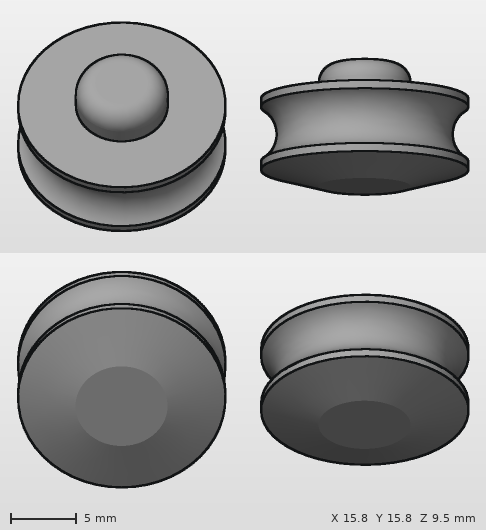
import cadquery as cq

wheel_radius = 7.9
total_height = 9.5

hub_radius = 3.5
hub_height = 2.7
hub_fillet = 1.5
cone_height = 1.3

rim_thickness = 0.63
waist_radius = 6.72

lower_rim_top = cone_height + rim_thickness
hub_base = total_height - hub_height
upper_rim_bottom = hub_base - rim_thickness
waist_height = (lower_rim_top + upper_rim_bottom) / 2

wheel = (
    cq.Workplane("XZ")
    .lineTo(hub_radius, 0)
    .lineTo(wheel_radius, cone_height)
    .lineTo(wheel_radius, lower_rim_top)
    .threePointArc((waist_radius, waist_height), (wheel_radius, upper_rim_bottom))
    .lineTo(wheel_radius, hub_base)
    .lineTo(0, hub_base)
    .close()
    .revolve(360, (0, 0, 0), (0, 1, 0))
)

hub = (
    cq.Workplane("XY", origin=(0, 0, hub_base))
    .circle(hub_radius)
    .extrude(hub_height)
    .faces(">Z")
    .edges()
    .fillet(hub_fillet)
)

result = wheel.union(hub)